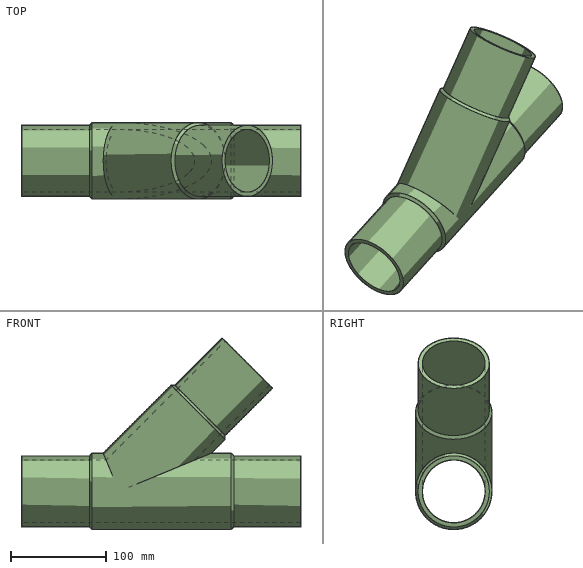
import cadquery as cq

pipe_diameter = 75.0
body_diameter = 80.5
bore_diameter = 66.0
body_chamfer = (body_diameter - pipe_diameter) / 2

run_length = 294.0
run_left = 102.5
body_left = 31.2
body_right = 120.8

branch_angle = 45.0
branch_length = 190.8
branch_body_length = 120.5


def cylinder_along_x(diameter, start, end):
    """Solid cylinder on the X axis between two X positions."""
    return cq.Workplane("YZ", origin=(start, 0, 0)).circle(diameter / 2).extrude(end - start)


def tilt_to_branch(shape):
    """Turn a shape lying along +X onto the branch axis."""
    return shape.rotate((0, 0, 0), (0, 1, 0), -branch_angle)


run_right = run_length - run_left
run_pipe = cylinder_along_x(pipe_diameter, -run_left, run_right)
run_body = cylinder_along_x(body_diameter, -body_left, body_right).faces("<X or >X").chamfer(body_chamfer)

branch_pipe = cylinder_along_x(pipe_diameter, 0, branch_length)
branch_body = cylinder_along_x(body_diameter, 0, branch_body_length).faces(">X").chamfer(body_chamfer)
branch = tilt_to_branch(branch_body.union(branch_pipe))

run_bore = cylinder_along_x(bore_diameter, -run_left, run_right)
branch_bore = tilt_to_branch(cylinder_along_x(bore_diameter, 0, branch_length))

result = run_body.union(run_pipe).union(branch).cut(run_bore).cut(branch_bore)